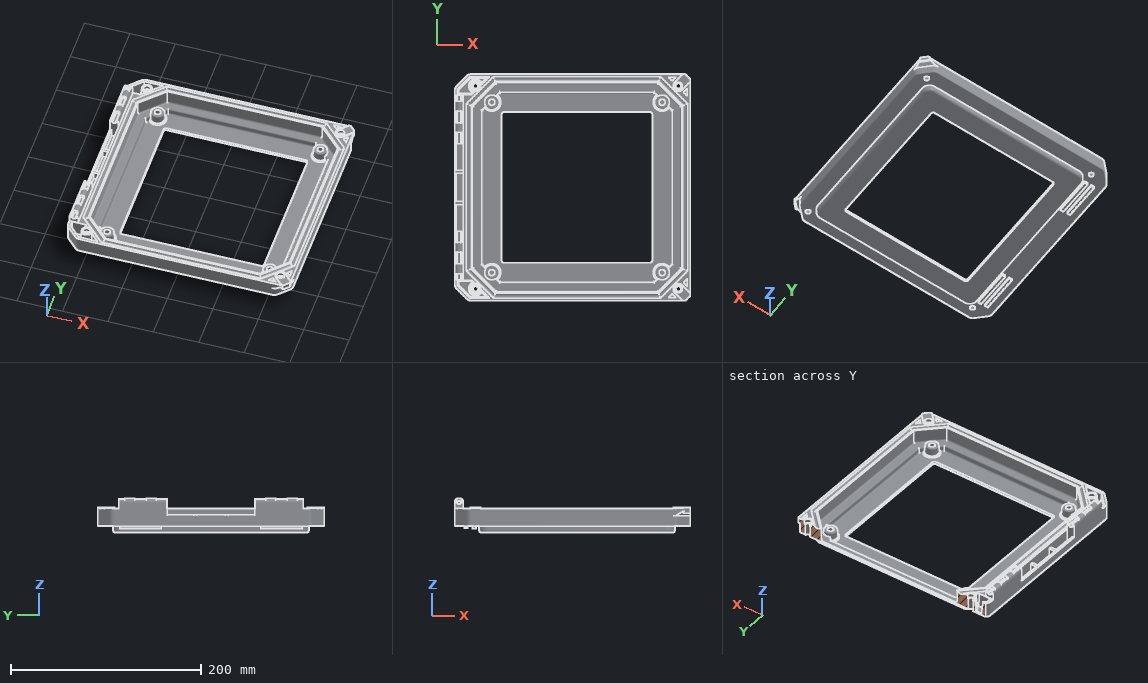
import cadquery as cq
import math


side = 238.5
hinge_width = 9.5
half = side / 2
left = -half - hinge_width
body_bottom = 7.0
rim_top = 25.5
corner_cut = 15.0
corner_round = 7.0
bottom_round = 1.0

pan_side = 206.0
pan_corner_round = 9.5
pan_bottom_round = 3.0
floor_top = 3.2
window_side = 158.2
window_round = 2.5

octagon_cut = 30.3
wall_inset = 9.5
wall_foot_fillet = 2.0
ledge_top = 9.2
step_inset = 19.3
step_edge_fillet = 1.5
step_foot_fillet = 1.7

groove_inset = 3.0
groove_width = 5.0
groove_radius = 2.2

boss_place = 89.5
boss_top_diameter = 14.5
boss_base_diameter = 16.4
boss_foot_diameter = 18.9
boss_foot_height = 1.2
boss_height = 10.0
boss_edge_round = 0.7
boss_hole_diameter = 6.5

screw_place = 106.7
screw_hole_diameter = 5.5
screw_head_diameter = 8.0
screw_head_depth = 5.0
tube_diameter = 11.2
tube_base_diameter = 14.5
tube_top = 26.5
corner_wall = 3.0
pocket_floor = 10.0
pocket_end = 97.5
pocket_draft = 5.0

tip_cut = 5.5
tip_round = 2.0
overhang_root = 18.0
finger_groove_top = 22.8
lip_bottom = 20.3
lip_width = 1.5
small_pocket_start = 15.5
small_pocket_length = 7.7
small_pocket_inset = 3.5

barrel_radius = hinge_width / 2
barrel_height = 31.7
barrel_x = left + barrel_radius
barrel_inner_end = 46.1
barrel_outer_end = 97.0
pin_diameter = 3.5
slot_width = 5.5
slot_spans = ((barrel_inner_end, 57.8), (68.0, 80.0), (90.8, barrel_outer_end))

notch_floor = 18.9
notch_lip = 2.0
notch_rib_place = 16.4
notch_rib_width = 3.2

bars = ((12.2, 4.0, 5.0), (20.8, 4.0, 4.0))
bar_inner_end = 52.0
bar_outer_end = 95.7

quadrants = [(sx, sy) for sx in (-1, 1) for sy in (-1, 1)]


def box(x0, x1, y0, y1, z0, z1):
    """Block between two opposite corners."""
    return cq.Workplane("XY").box(x1 - x0, y1 - y0, z1 - z0, centered=False).translate((x0, y0, z0))


def square_prism(size, round_radius, z0, z1):
    """Upright square block with rounded vertical edges."""
    block = cq.Workplane("XY", origin=(0, 0, z0)).rect(size, size).extrude(z1 - z0)
    return block.edges("|Z").fillet(round_radius)


def octagon(inset):
    """Corner points of the inside octagon, moved inwards by the inset."""
    reach = half - inset
    near = reach - octagon_cut + inset * (2 - math.sqrt(2))
    return [
        (reach, near), (near, reach), (-near, reach), (-reach, near),
        (-reach, -near), (-near, -reach), (near, -reach), (reach, -near),
    ]


def octagon_prism(inset, z0, z1):
    """Upright eight-sided block."""
    return cq.Workplane("XY", origin=(0, 0, z0)).polyline(octagon(inset)).close().extrude(z1 - z0)


def octagon_sweep(profile, inset, z):
    """Carry a closed XZ profile around the octagon with mitred corners."""
    path = cq.Workplane("XY", origin=(0, 0, z)).moveTo(half - inset, 0)
    path = path.polyline(octagon(inset), includeCurrent=True).close()
    return profile.sweep(path, transition="right")


def cone(x, y, z0, lower_diameter, z1, upper_diameter):
    """Upright tapered post."""
    lower = cq.Workplane("XY", origin=(x, y, z0)).circle(lower_diameter / 2)
    return lower.workplane(offset=z1 - z0).circle(upper_diameter / 2).loft(ruled=True)


def cylinder(x, y, z0, z1, diameter):
    return cq.Workplane("XY", origin=(x, y, z0)).circle(diameter / 2).extrude(z1 - z0)


def make_body():
    block = box(left, half, -half, half, body_bottom, rim_top)
    block = block.edges("|Z").chamfer(corner_cut)
    block = block.edges("|Z").fillet(corner_round)
    return block.faces("<Z").edges().fillet(bottom_round)


def make_pan():
    pan = square_prism(pan_side, pan_corner_round, 0, ledge_top)
    return pan.faces("<Z").edges().fillet(pan_bottom_round)


def tip_outline(height):
    """Square block with small blunt corners that bounds the +X corners."""
    block = box(-half, half, -half, half, 0, height)
    return block.edges("|Z").chamfer(tip_cut).edges("|Z").fillet(tip_round)


def make_overhang(sy):
    """Square corner over the cut corner, hollowed underneath behind a lip at the tip."""
    slope_start = (2 * half - corner_cut) / math.sqrt(2)
    root = slope_start - corner_round / 2
    tip = (2 * half - tip_cut) / math.sqrt(2)
    lip = tip - lip_width
    wedge = (
        cq.Workplane("XZ")
        .polyline([
            (root, overhang_root), (slope_start, overhang_root), (lip, finger_groove_top),
            (lip, lip_bottom), (tip, lip_bottom), (tip, rim_top), (root, rim_top),
        ])
        .close()
        .extrude(2 * corner_cut, both=True)
        .rotate((0, 0, 0), (0, 0, 1), sy * 45)
    )
    return wedge.intersect(tip_outline(rim_top))


def make_tab(sy):
    """Low raised strip from the screw hole to the tip of a +X corner."""
    reach = half * math.sqrt(2)
    start = screw_place * math.sqrt(2)
    strip = box(start, reach, -tube_diameter / 2, tube_diameter / 2, finger_groove_top, tube_top)
    strip = strip.union(cylinder(start, 0, finger_groove_top, tube_top, tube_diameter))
    strip = strip.rotate((0, 0, 0), (0, 0, 1), sy * 45)
    return strip.intersect(tip_outline(tube_top))


def make_groove():
    outer = half - groove_inset
    inner = outer - groove_width
    bottom = rim_top - groove_radius
    profile = (
        cq.Workplane("XZ")
        .moveTo(outer, rim_top)
        .radiusArc((outer - groove_radius, bottom), groove_radius)
        .lineTo(inner + groove_radius, bottom)
        .radiusArc((inner, rim_top), groove_radius)
        .close()
    )
    return octagon_sweep(profile, groove_inset, rim_top)


def make_step_edge():
    """Cutter that rounds the inner edge of the ledge."""
    x = half - step_inset
    profile = (
        cq.Workplane("XZ")
        .moveTo(x, ledge_top)
        .lineTo(x + step_edge_fillet, ledge_top)
        .radiusArc((x, ledge_top - step_edge_fillet), -step_edge_fillet)
        .close()
    )
    return octagon_sweep(profile, step_inset, ledge_top)


def make_cavity():
    """Space inside the walls, stepped at the ledge, with the window through the floor."""
    upper = octagon_prism(wall_inset, ledge_top, rim_top).faces("<Z").edges().fillet(wall_foot_fillet)
    lower = octagon_prism(step_inset, floor_top, ledge_top).faces("<Z").edges().fillet(step_foot_fillet)
    window = square_prism(window_side, window_round, 0, floor_top)
    return upper.union(lower).union(window)


def make_boss(sx, sy):
    x = sx * boss_place
    y = sy * boss_place
    top = floor_top + boss_height
    foot_top = floor_top + boss_foot_height
    post = cone(x, y, floor_top, boss_base_diameter, top, boss_top_diameter)
    post = post.faces(">Z").edges().fillet(boss_edge_round)
    foot = cone(x, y, floor_top, boss_foot_diameter, foot_top, boss_base_diameter)
    return post.union(foot)


def make_boss_hole(sx, sy):
    top = floor_top + boss_height
    return cylinder(sx * boss_place, sy * boss_place, floor_top, top, boss_hole_diameter)


def make_hinge_pocket(sy):
    """Pocket around the screw tube in a -X corner."""
    cut_sum = corner_cut + corner_wall * math.sqrt(2)
    inner_sum = octagon_cut
    x0 = left + corner_wall
    y0 = half - corner_wall
    y1 = pocket_end
    points = [
        (x0, y1), (x0, half - (cut_sum - corner_wall)), (left + cut_sum - corner_wall, y0),
        (-half + inner_sum - corner_wall, y0), (-half + inner_sum - (half - y1), y1),
    ]
    plane = cq.Workplane("XY", origin=(0, 0, rim_top))
    pocket = plane.polyline(points).close().extrude(pocket_floor - rim_top, taper=pocket_draft)
    return pocket if sy > 0 else pocket.mirror("XZ")


def make_small_pockets(sy):
    """Pair of triangular pockets beside the screw hole in a +X corner."""
    edge = half - small_pocket_inset
    start = half - small_pocket_start
    end = start - small_pocket_length
    middle = (start + end) / 2
    tip = edge - small_pocket_length / 2
    plane = cq.Workplane("XY", origin=(0, 0, pocket_floor))
    depth = rim_top - pocket_floor
    first = plane.polyline([(start, edge), (end, edge), (middle, tip)]).close().extrude(depth)
    second = plane.polyline([(edge, start), (edge, end), (tip, middle)]).close().extrude(depth)
    pair = first.union(second)
    return pair if sy > 0 else pair.mirror("XZ")


def make_screw_hole(sx, sy):
    x = sx * screw_place
    y = sy * screw_place
    hole = cylinder(x, y, 0, tube_top, screw_hole_diameter)
    return hole.union(cylinder(x, y, tube_top - screw_head_depth, tube_top, screw_head_diameter))


def make_barrel():
    """Hinge barrel on the +Y half, with its slots and pin hole."""
    length = barrel_outer_end - barrel_inner_end
    axis = cq.Workplane("XZ", origin=(barrel_x, barrel_outer_end, barrel_height))
    barrel = box(left, left + hinge_width, barrel_inner_end, barrel_outer_end, notch_floor, barrel_height)
    barrel = barrel.union(axis.circle(barrel_radius).extrude(length))
    barrel = barrel.cut(axis.circle(pin_diameter / 2).extrude(length))
    slot_left = barrel_x - slot_width / 2
    slot_right = barrel_x + slot_width / 2
    slot_top = barrel_height + barrel_radius
    for y0, y1 in slot_spans:
        barrel = barrel.cut(box(slot_left, slot_right, y0, y1, barrel_height, slot_top))
    return barrel


def make_notch():
    """Recess between the barrels, with a deeper pocket split by two ribs."""
    inner = left + hinge_width
    notch = box(left, inner, -barrel_inner_end, barrel_inner_end, notch_floor, rim_top)
    well = box(left + notch_lip, inner, -barrel_inner_end, barrel_inner_end, pocket_floor, notch_floor)
    for sy in (-1, 1):
        y = sy * notch_rib_place
        well = well.cut(box(left, inner, y - notch_rib_width / 2, y + notch_rib_width / 2,
                            pocket_floor, notch_floor))
    return notch.union(well)


def make_bar(distance, width, lowest):
    """Bar under the hinge strip on the +Y half."""
    x = left + distance
    return box(x - width / 2, x + width / 2, bar_inner_end, bar_outer_end, lowest, body_bottom)


part = make_body().union(make_pan())
for sy in (-1, 1):
    part = part.union(make_overhang(sy)).union(make_tab(sy))

part = part.cut(make_cavity()).cut(make_step_edge()).cut(make_groove()).cut(make_notch())

for sy in (-1, 1):
    tube = cone(-screw_place, sy * screw_place, pocket_floor, tube_base_diameter, tube_top, tube_diameter)
    part = part.cut(make_hinge_pocket(sy)).union(tube)
    part = part.cut(make_small_pockets(sy))

for sx, sy in quadrants:
    part = part.union(make_boss(sx, sy)).cut(make_boss_hole(sx, sy))
    part = part.cut(make_screw_hole(sx, sy))

barrel = make_barrel()
part = part.union(barrel).union(barrel.mirror("XZ"))

for distance, width, lowest in bars:
    bar = make_bar(distance, width, lowest)
    part = part.union(bar).union(bar.mirror("XZ"))

result = part